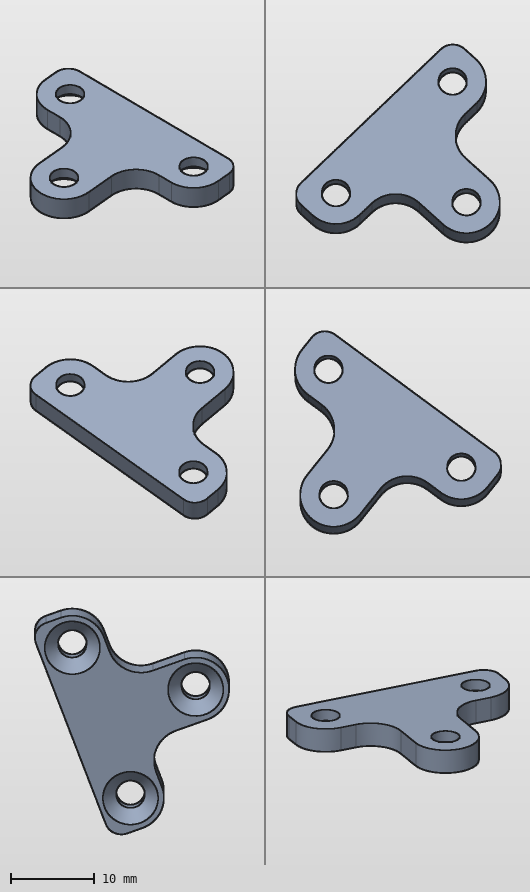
import cadquery as cq

thickness = 3.0
hole_diameter = 3.4
countersink_diameter = 6.6
countersink_angle = 90.0
hole_spacing = 20.0
stem_length = 12.0
end_radius = 4.0
inner_radius = 4.0
top_margin = 3.9
top_corner_radius = 2.0

half_spacing = hole_spacing / 2
half_width = half_spacing + end_radius
bar_bottom = -end_radius
stem_half_width = end_radius
hole_centers = [(-half_spacing, 0), (half_spacing, 0), (0, -stem_length)]


def plate():
    """T-shaped plate with a full-round stem end and rounded crossbar ends."""
    fillet_end_x = stem_half_width + inner_radius
    fillet_end_y = bar_bottom - inner_radius
    corner_start_x = half_width - top_corner_radius
    corner_end_y = top_margin - top_corner_radius
    return (
        cq.Workplane("XY")
        .moveTo(-corner_start_x, top_margin)
        .lineTo(corner_start_x, top_margin)
        .radiusArc((half_width, corner_end_y), top_corner_radius)
        .lineTo(half_width, 0)
        .radiusArc((half_spacing, bar_bottom), end_radius)
        .lineTo(fillet_end_x, bar_bottom)
        .radiusArc((stem_half_width, fillet_end_y), -inner_radius)
        .lineTo(stem_half_width, -stem_length)
        .threePointArc((0, -stem_length - end_radius), (-stem_half_width, -stem_length))
        .lineTo(-stem_half_width, fillet_end_y)
        .radiusArc((-fillet_end_x, bar_bottom), -inner_radius)
        .lineTo(-half_spacing, bar_bottom)
        .radiusArc((-half_width, 0), end_radius)
        .lineTo(-half_width, corner_end_y)
        .radiusArc((-corner_start_x, top_margin), top_corner_radius)
        .close()
        .extrude(thickness)
    )


def countersunk_holes(body):
    """Through holes at the three mounting points, countersunk from the bottom face."""
    return (
        body.faces("<Z")
        .workplane(origin=(0, 0, 0))
        .pushPoints([(x, -y) for x, y in hole_centers])
        .cskHole(hole_diameter, countersink_diameter, countersink_angle)
    )


result = countersunk_holes(plate())